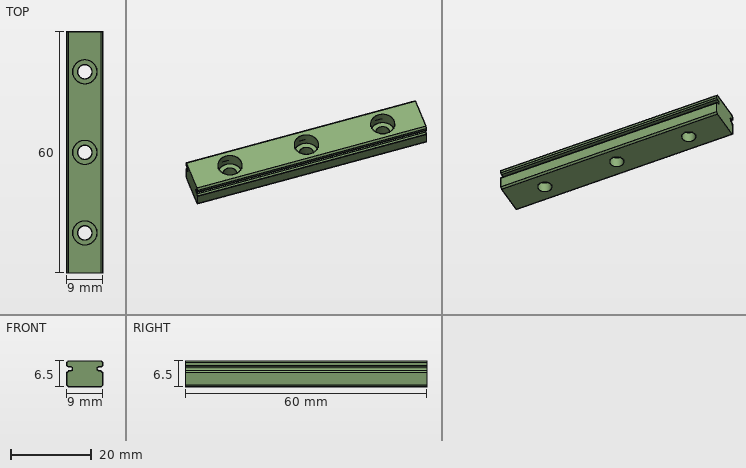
import cadquery as cq
import math

WIDTH = 9.0
LENGTH = 60.0
HEIGHT = 6.5
EDGE_CHAMFER = 0.45

GROOVE_HEIGHT = 0.95
GROOVE_DEPTH = 1.43
GROOVE_CENTER_Z = 4.5

LIP_SLOPE_WIDTH = 0.4
LIP_SLOPE_HEIGHT = 0.3
RELIEF_RADIUS = 0.38
RELIEF_BEVEL = 0.08

HOLE_COUNT = 3
HOLE_PITCH = 20.0
HOLE_DIAMETER = 3.5
COUNTERBORE_DIAMETER = 6.0
COUNTERBORE_DEPTH = 3.5


def make_body():
    """Rectangular bar with its four long edges chamfered."""
    bar = cq.Workplane("XY").box(WIDTH, LENGTH, HEIGHT, centered=(True, True, False))
    return bar.edges("|Y").chamfer(EDGE_CHAMFER)


def make_groove(side):
    """Full-length groove cutter; side is +1 for the +X face and -1 for the -X face."""
    radius = GROOVE_HEIGHT / 2
    top_z = GROOVE_CENTER_Z + radius
    bottom_z = GROOVE_CENTER_Z - radius
    face_x = side * WIDTH / 2
    slope_end_x = side * (WIDTH / 2 - LIP_SLOPE_WIDTH)
    relief_center_x = side * (WIDTH / 2 - RELIEF_BEVEL)
    relief_end_x = relief_center_x - side * RELIEF_RADIUS
    relief_floor_z = bottom_z - RELIEF_RADIUS
    relief_diagonal = RELIEF_RADIUS * math.sqrt(0.5)
    relief_middle = (relief_center_x - side * relief_diagonal, bottom_z - relief_diagonal)
    arc_end_x = side * (WIDTH / 2 - GROOVE_DEPTH + radius)
    tip_x = side * (WIDTH / 2 - GROOVE_DEPTH)
    return (
        cq.Workplane("XZ")
        .moveTo(face_x, top_z + LIP_SLOPE_HEIGHT)
        .lineTo(slope_end_x, top_z)
        .lineTo(arc_end_x, top_z)
        .threePointArc((tip_x, GROOVE_CENTER_Z), (arc_end_x, bottom_z))
        .lineTo(relief_end_x, bottom_z)
        .threePointArc(relief_middle, (relief_center_x, relief_floor_z))
        .lineTo(face_x, relief_floor_z - RELIEF_BEVEL)
        .close()
        .extrude(LENGTH / 2, both=True)
    )


def cut_mounting_holes(body):
    """Through holes counterbored from the top face, centred along the length."""
    return (
        body.faces(">Z")
        .workplane(origin=(0, 0, HEIGHT))
        .rarray(HOLE_PITCH, HOLE_PITCH, 1, HOLE_COUNT)
        .cboreHole(HOLE_DIAMETER, COUNTERBORE_DIAMETER, COUNTERBORE_DEPTH)
    )


rail = make_body()
for groove_side in (-1, 1):
    rail = rail.cut(make_groove(groove_side))
result = cut_mounting_holes(rail)